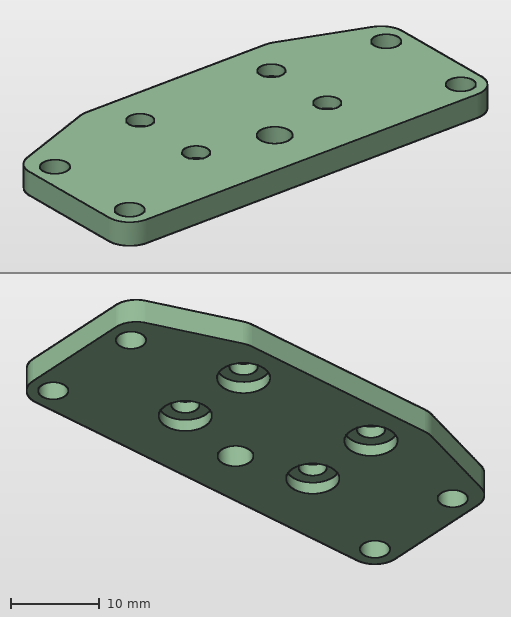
import cadquery as cq

length = 54.0
width = 24.35
thickness = 3.0
corner_radius = 3.0
bend_radius = 3.25

taper_run = 5.0
taper_length = 13.5

corner_hole_diameter = 3.4
corner_hole_inset = 3.0
corner_hole_spacing_x = 13.35
corner_hole_spacing_y = 48.0

inner_hole_diameter = 3.2
inner_hole_inset = 5.35
inner_hole_spacing_x = 10.0
inner_hole_spacing_y = 19.0
counterbore_diameter = 6.0
counterbore_depth = thickness / 2

centre_hole_diameter = 4.05
centre_hole_inset = 6.7

right = width / 2
left = -right
half_length = length / 2


def make_plate():
    """Plate with tapered ends, rounded corners and softened bends."""
    plate = (
        cq.Workplane("XY")
        .moveTo(right, -half_length)
        .lineTo(right, half_length)
        .lineTo(left + taper_run, half_length)
        .lineTo(left, half_length - taper_length)
        .lineTo(left, taper_length - half_length)
        .lineTo(left + taper_run, -half_length)
        .close()
        .extrude(thickness)
    )
    plate = plate.edges("|Z").edges("<X").fillet(bend_radius)
    end_corners = plate.edges("|Z").edges(">Y or <Y")
    return end_corners.fillet(corner_radius)


def mirrored_pairs(x_places, spacing_y):
    """Points at each X place, mirrored about the centre line."""
    return [(x, side * spacing_y / 2) for x in x_places for side in (-1, 1)]


def cylinders(points, diameter, height):
    """Upright cylinders standing on the bottom plane of the plate."""
    return cq.Workplane("XY").pushPoints(points).circle(diameter / 2).extrude(height)


corner_x = right - corner_hole_inset
corner_points = mirrored_pairs([corner_x - corner_hole_spacing_x, corner_x], corner_hole_spacing_y)

inner_x = left + inner_hole_inset
inner_points = mirrored_pairs([inner_x, inner_x + inner_hole_spacing_x], inner_hole_spacing_y)

centre_points = [(right - centre_hole_inset, 0)]

result = (
    make_plate()
    .cut(cylinders(corner_points, corner_hole_diameter, thickness))
    .cut(cylinders(inner_points, inner_hole_diameter, thickness))
    .cut(cylinders(inner_points, counterbore_diameter, counterbore_depth))
    .cut(cylinders(centre_points, centre_hole_diameter, thickness))
)